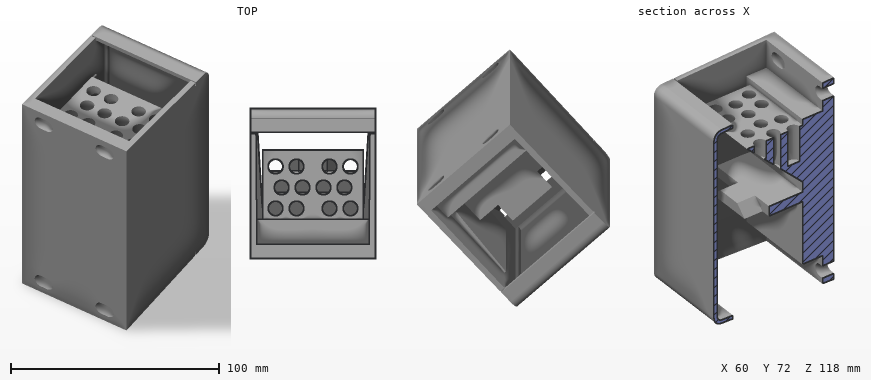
import cadquery as cq
import math

WIDTH = 60.0
DEPTH = 72.0
HEIGHT = 118.0
FRONT_Y = -DEPTH / 2
REAR_Y = DEPTH / 2
END_DRAFT = 2.0

FRONT_WALL = 7.0
RIM_SIDE_WALL = 2.6
FRONT_CORNER_WALL = 3.1
COVER_SIDE_WALL = 4.5
COVER_WALL = 2.2
COVER_LENGTH = 11.5
COVER_STEP_LENGTH = 4.1
CORNER_RADIUS = 5.0
JOINT_GAP = 0.6

PILLAR_Y = -17.1
PILLAR_HEIGHT = 85.0
SIDE_RIB_HEIGHT = 66.1
SIDE_RIB_FRONT_WALL = 6.1
SIDE_RIB_REAR_WALL = 3.5

HOLDER_WIDTH = 48.3
HOLDER_REAR_Y = 16.2
HOLDER_TOP = 39.0
HOLE_DIAMETER = 7.0
ROW_PITCH = 10.0
COLUMN_PITCH = 10.0
REAR_ROW_Y = 8.1
OUTER_COLUMN_X = 17.9
REAR_ROW_DEPTH = 10.1
FRONT_ROWS_DEPTH = 2 * REAR_ROW_DEPTH

SHELF_REAR_Y = 3.0
SHELF_THICKNESS = 5.9
TONGUE_REAR_Y = 13.6
TONGUE_TOP_WIDTH = 13.5
TONGUE_BASE_WIDTH = TONGUE_TOP_WIDTH + 2 * SHELF_THICKNESS

SLOT_LENGTH = 10.4
SLOT_HEIGHT = 7.0
SLOT_X = 17.5
SLOT_Z = 51.9

INNER_FRONT_Y = FRONT_Y + FRONT_WALL
COVER_FRONT_Y = REAR_Y - COVER_LENGTH
BODY_REAR_Y = COVER_FRONT_Y - JOINT_GAP
COVER_STEP_Y = REAR_Y - COVER_STEP_LENGTH


def end_half_height(y):
    """Half the outer height at depth y, following the end draft."""
    return HEIGHT / 2 - (y - FRONT_Y) * math.tan(math.radians(END_DRAFT))


def box(x_size, y_min, y_max, z_min, z_max):
    """Box centred on X with the given Y and Z limits."""
    solid = cq.Workplane("XY").box(x_size, y_max - y_min, z_max - z_min, centered=(True, False, False))
    return solid.translate((0, y_min, z_min))


def extrude_along_x(points, length):
    """Extrude a closed Y-Z outline symmetrically about X = 0."""
    return cq.Workplane("YZ").polyline(points).close().extrude(length / 2, both=True)


def extrude_along_z(points, height):
    """Extrude a closed X-Y outline symmetrically about Z = 0."""
    return cq.Workplane("XY").polyline(points).close().extrude(height / 2, both=True)


def drafted_profile(y_min, y_max, inset, length):
    """Drafted side outline between two depths, inset from both ends, spanning the given X length."""
    front = end_half_height(y_min) - inset
    rear = end_half_height(y_max) - inset
    points = [(y_min, -front), (y_max, -rear), (y_max, rear), (y_min, front)]
    return extrude_along_x(points, length)


def make_shell():
    """Drafted case, open at both ends, with a closed rounded cover at the rear."""
    outer = drafted_profile(FRONT_Y, REAR_Y, 0, WIDTH).edges("|X and >Y").fillet(CORNER_RADIUS)

    front_half = WIDTH / 2 - FRONT_CORNER_WALL
    rear_half = WIDTH / 2 - RIM_SIDE_WALL
    opening = extrude_along_z(
        [
            (-front_half, INNER_FRONT_Y),
            (front_half, INNER_FRONT_Y),
            (rear_half, COVER_STEP_Y),
            (-rear_half, COVER_STEP_Y),
        ],
        HEIGHT,
    )
    between_lips = drafted_profile(INNER_FRONT_Y, COVER_STEP_Y, COVER_WALL, WIDTH)
    through_ends = box(WIDTH, INNER_FRONT_Y, BODY_REAR_Y, -HEIGHT / 2, HEIGHT / 2)
    opening = opening.intersect(between_lips.union(through_ends))

    rear_inner_width = WIDTH - 2 * COVER_SIDE_WALL
    rear_cavity = drafted_profile(INNER_FRONT_Y, REAR_Y - COVER_WALL, COVER_WALL, rear_inner_width)
    rear_cavity = rear_cavity.edges("|X and >Y").fillet(CORNER_RADIUS - COVER_WALL)

    shell = outer.cut(opening).cut(rear_cavity)
    joint_depth = end_half_height(COVER_FRONT_Y) - COVER_WALL
    for z_min, z_max in ((joint_depth, HEIGHT), (-HEIGHT, -joint_depth)):
        shell = shell.cut(box(WIDTH, BODY_REAR_Y, COVER_FRONT_Y, z_min, z_max))
    return shell


def cut_mounting_slots(body):
    """Four horizontal slots through the front wall."""
    slots = (
        cq.Workplane("XZ", origin=(0, FRONT_Y, 0))
        .rect(2 * SLOT_X, 2 * SLOT_Z, forConstruction=True)
        .vertices()
        .slot2D(SLOT_LENGTH, SLOT_HEIGHT)
        .extrude(-FRONT_WALL)
    )
    return body.cut(slots)


def make_pillar():
    """Thickened front wall that carries the holder block."""
    half_height = PILLAR_HEIGHT / 2
    return box(WIDTH - 2 * RIM_SIDE_WALL, INNER_FRONT_Y, PILLAR_Y, -half_height, half_height)


def make_side_rib():
    """Rib on the +X wall that narrows from the pillar to the cover."""
    outer_x = WIDTH / 2 - RIM_SIDE_WALL / 2
    return extrude_along_z(
        [
            (outer_x, PILLAR_Y),
            (outer_x, BODY_REAR_Y),
            (WIDTH / 2 - SIDE_RIB_REAR_WALL, BODY_REAR_Y),
            (WIDTH / 2 - SIDE_RIB_FRONT_WALL, PILLAR_Y),
        ],
        SIDE_RIB_HEIGHT,
    )


def make_holder():
    """Block with a 45 degree underside and three rows of blind holes, shallower in the rear row."""
    front_depth = HOLDER_REAR_Y - PILLAR_Y
    holder = extrude_along_x(
        [(HOLDER_REAR_Y, HOLDER_TOP), (PILLAR_Y, HOLDER_TOP), (PILLAR_Y, HOLDER_TOP - front_depth)],
        HOLDER_WIDTH,
    )
    paired = [OUTER_COLUMN_X, OUTER_COLUMN_X - COLUMN_PITCH]
    evenly_spaced = [1.5 * COLUMN_PITCH, 0.5 * COLUMN_PITCH]
    rows = [
        (paired, REAR_ROW_DEPTH),
        (evenly_spaced, FRONT_ROWS_DEPTH),
        (paired, FRONT_ROWS_DEPTH),
    ]
    for row, (columns, depth) in enumerate(rows):
        y = REAR_ROW_Y - row * ROW_PITCH
        points = [(side * x, y) for x in columns for side in (-1, 1)]
        holes = (
            cq.Workplane("XY", origin=(0, 0, HOLDER_TOP))
            .pushPoints(points)
            .circle(HOLE_DIAMETER / 2)
            .extrude(-depth)
        )
        holder = holder.cut(holes)
    return holder


def make_shelf():
    """Shelf level with Z = 0 with a central rear tongue that widens downward."""
    shelf = box(HOLDER_WIDTH, PILLAR_Y, SHELF_REAR_Y, -SHELF_THICKNESS, 0)
    tongue = (
        cq.Workplane("XZ", origin=(0, PILLAR_Y, 0))
        .moveTo(-TONGUE_TOP_WIDTH / 2, 0)
        .lineTo(TONGUE_TOP_WIDTH / 2, 0)
        .lineTo(TONGUE_BASE_WIDTH / 2, -SHELF_THICKNESS)
        .lineTo(-TONGUE_BASE_WIDTH / 2, -SHELF_THICKNESS)
        .close()
        .extrude(PILLAR_Y - TONGUE_REAR_Y)
    )
    return shelf.union(tongue)


result = cut_mounting_slots(make_shell())
side_rib = make_side_rib()
for feature in (make_pillar(), side_rib, side_rib.mirror("YZ"), make_holder(), make_shelf()):
    result = result.union(feature)